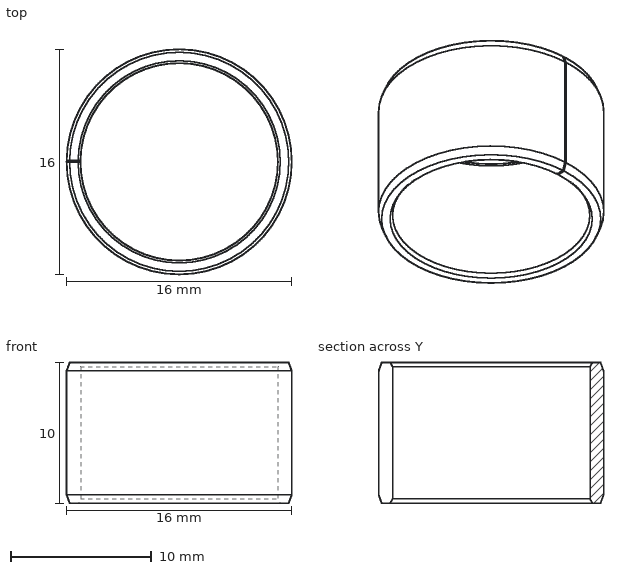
import cadquery as cq
import math

outer_diameter = 16.0
inner_diameter = 14.0
length = 10.0

outer_chamfer_length = 0.6
outer_chamfer_angle = 20.0
bore_chamfer_length = 0.3
bore_chamfer_angle = 30.0

slit_width = 0.11

outer_radius = outer_diameter / 2
inner_radius = inner_diameter / 2
half_length = length / 2
outer_chamfer_depth = outer_chamfer_length * math.tan(math.radians(outer_chamfer_angle))
bore_chamfer_depth = bore_chamfer_length * math.tan(math.radians(bore_chamfer_angle))


def make_ring():
    """Revolve the wall section, chamfered at all four corners, about Z."""
    upper_half = [
        (outer_radius, half_length - outer_chamfer_length),
        (outer_radius - outer_chamfer_depth, half_length),
        (inner_radius + bore_chamfer_depth, half_length),
        (inner_radius, half_length - bore_chamfer_length),
    ]
    lower_half = [(radius, -height) for radius, height in reversed(upper_half)]
    section = cq.Workplane("XZ").polyline(upper_half + lower_half).close()
    return section.revolve(360, (0, 0, 0), (0, 1, 0))


def make_slit():
    """Full-length cut through the -X wall, with one face on the XZ plane."""
    return cq.Workplane("XY").box(
        outer_diameter, slit_width, length, centered=(False, False, True)
    ).translate((-outer_diameter, 0, 0))


result = make_ring().cut(make_slit())